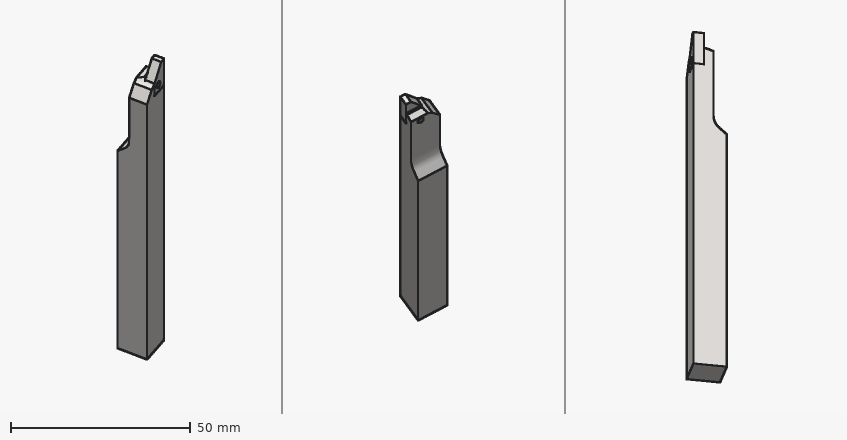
import cadquery as cq
import math

WIDTH = 9.6
LENGTH = 105.0

NECK_X = 3.8
SHOULDER_Z = 73.6
SHOULDER_ANGLE = math.radians(49)
NECK_RADIUS = 4.6

SLOPE_START_Z = 99.5
SHELF_X = 6.0
SHELF_Z = 100.3

TIP_FLAT = 1.7
NOSE_ARC_START = 4.9
NOSE_ARC_START_Z = 100.3
NOSE_ARC_END = 6.9
NOSE_ARC_END_Z = 98.6
NOSE_FOOT_Z = 95.1

INSERT_THICKNESS = 3.0
INSERT_DEPTH = 5.4
SEAT_Z = 95.1

PIN_DIAMETER = 2.0
PIN_FROM_BACK = 3.2
PIN_Z = 97.6

INSERT_X = WIDTH - INSERT_THICKNESS


def make_side_profile():
    """Holder outline in XZ, extruded across the full width."""
    fillet_center_x = NECK_X - NECK_RADIUS
    fillet_end_x = fillet_center_x + NECK_RADIUS * math.cos(SHOULDER_ANGLE)
    fillet_end_z = SHOULDER_Z + fillet_end_x / math.tan(SHOULDER_ANGLE)
    fillet_center_z = fillet_end_z + NECK_RADIUS * math.sin(SHOULDER_ANGLE)
    half_angle = SHOULDER_ANGLE / 2
    fillet_middle = (
        fillet_center_x + NECK_RADIUS * math.cos(half_angle),
        fillet_center_z - NECK_RADIUS * math.sin(half_angle),
    )
    return (
        cq.Workplane("XZ")
        .moveTo(0, 0)
        .lineTo(WIDTH, 0)
        .lineTo(WIDTH, SHELF_Z)
        .lineTo(SHELF_X, SHELF_Z)
        .lineTo(NECK_X, SLOPE_START_Z)
        .lineTo(NECK_X, fillet_center_z)
        .threePointArc(fillet_middle, (fillet_end_x, fillet_end_z))
        .lineTo(0, SHOULDER_Z)
        .close()
        .extrude(-WIDTH)
    )


def make_nose_profile():
    """Nose outline in YZ, shared by the holder and the insert."""
    return (
        cq.Workplane("YZ")
        .moveTo(WIDTH, 0)
        .lineTo(WIDTH, LENGTH)
        .lineTo(WIDTH - TIP_FLAT, LENGTH)
        .lineTo(WIDTH - NOSE_ARC_START, NOSE_ARC_START_Z)
        .tangentArcPoint((WIDTH - NOSE_ARC_END, NOSE_ARC_END_Z), relative=False)
        .lineTo(0, NOSE_FOOT_Z)
        .lineTo(0, 0)
        .close()
        .extrude(WIDTH)
    )


def make_seat_block():
    """Space that the insert takes up before its nose is shaped."""
    return cq.Workplane("XY").box(
        INSERT_THICKNESS, INSERT_DEPTH, LENGTH - SEAT_Z, centered=False
    ).translate((INSERT_X, WIDTH - INSERT_DEPTH, SEAT_Z))


def make_pin():
    """Pin from the neck face through to the +X face."""
    return (
        cq.Workplane("YZ", origin=(NECK_X, 0, 0))
        .center(WIDTH - PIN_FROM_BACK, PIN_Z)
        .circle(PIN_DIAMETER / 2)
        .extrude(WIDTH - NECK_X)
    )


def make_holder():
    """Shank with its neck, nose, insert seat and pin hole."""
    shank = make_side_profile().intersect(make_nose_profile())
    return shank.cut(make_seat_block()).cut(make_pin())


def make_insert():
    """Pointed blade that fills the seat and rises above the shelf."""
    return make_seat_block().intersect(make_nose_profile()).cut(make_pin())


holder = make_holder()
insert = make_insert()
pin = make_pin()

result = cq.Compound.makeCompound([holder.val(), insert.val(), pin.val()])